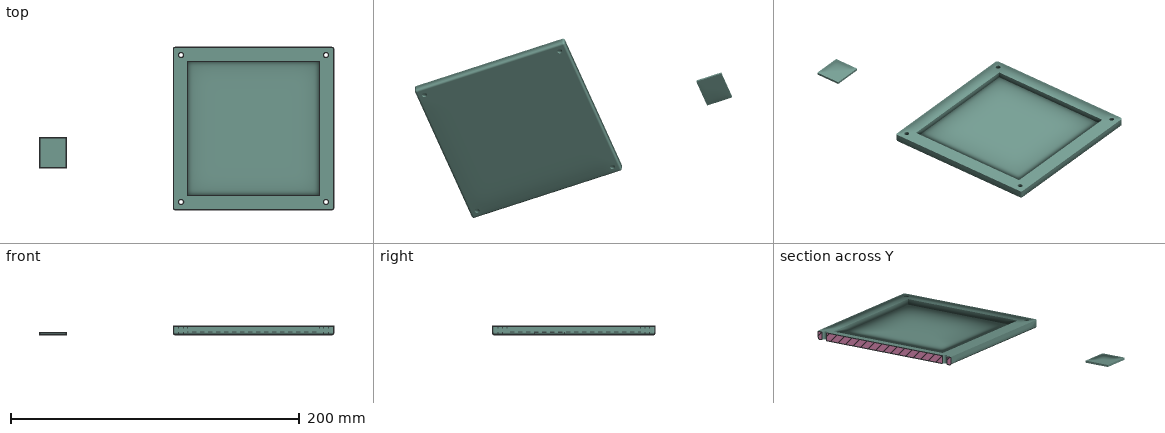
import cadquery as cq

tray_length_x = 111.2
tray_length_y = 112.6
tray_height = 6.0
edge_radius = 1.5

border_width = 10.0
floor_thickness = 2.0
pocket_length_x = tray_length_x - 2 * border_width
pocket_length_y = tray_length_y - 2 * border_width
pocket_depth = tray_height - floor_thickness

hole_diameter = 3.4
hole_inset = 5.4
hole_spacing_x = tray_length_x - 2 * hole_inset
hole_spacing_y = tray_length_y - 2 * hole_inset

total_length_x = 203.7
tile_length_x = 18.5
tile_length_y = 21.0
tile_thickness = 1.5
tile_center_x = tray_length_x / 2 - total_length_x + tile_length_x / 2
tile_center_y = -16.8


def block(length_x, length_y, height):
    """Block centred on the Z axis that stands on the plane Z = 0."""
    return cq.Workplane("XY").box(length_x, length_y, height, centered=(True, True, False))


def make_pocket():
    pocket = block(pocket_length_x, pocket_length_y, pocket_depth)
    return pocket.translate((0, 0, floor_thickness))


def make_screw_holes():
    return (
        cq.Workplane("XY")
        .rect(hole_spacing_x, hole_spacing_y, forConstruction=True)
        .vertices()
        .circle(hole_diameter / 2)
        .extrude(tray_height)
    )


def make_tray():
    plate = block(tray_length_x, tray_length_y, tray_height)
    plate = plate.edges("|Z or <Z").fillet(edge_radius)
    return plate.cut(make_pocket()).cut(make_screw_holes()).solids()


def make_tile():
    flat_tile = block(tile_length_x, tile_length_y, tile_thickness)
    return flat_tile.translate((tile_center_x, tile_center_y, 0))


tray = make_tray()
tile = make_tile()

result = cq.Compound.makeCompound([tray.val(), tile.val()])